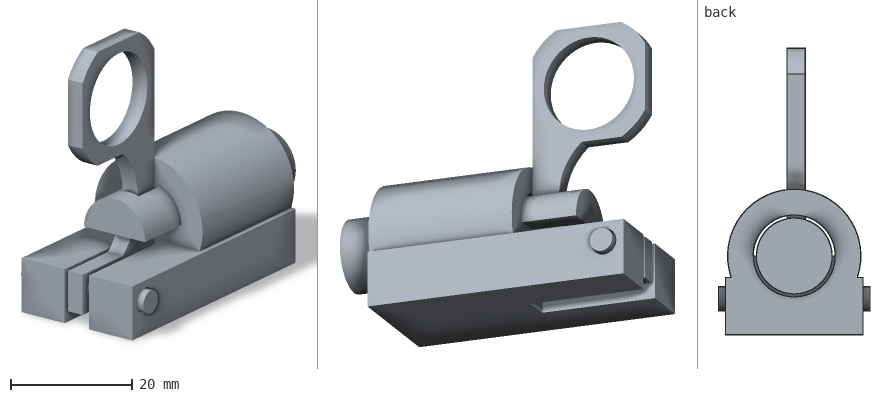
import cadquery as cq

OVERSHOOT = 0.5

base_width = 22.7
base_length = 45.5
base_height = 9.5
barrel_diameter = 22.0
bore_diameter = 13.5
axis_z = 13.0
barrel_front_y = 20.0
barrel_length = base_length - barrel_front_y
base_slot_width = 5.0
bore_step_y = barrel_front_y + barrel_length / 2

pin_diameter = 4.0
pin_hole_diameter = 4.5
pin_length = 25.0
pin_y = 3.5
pin_z = 6.0

plunger_diameter = 12.5
plunger_front_y = 10.5
plunger_rear_y = 52.5
plunger_slot_width = 4.0
plunger_nose_length = 4.0
plunger_slot_front_y = plunger_front_y + plunger_nose_length

lever_thickness = 3.05
lever_offset_x = -0.3
ring_size = 20.0
ring_corner_radius = 11.55
ring_hole_diameter = 16.0
lever_top_z = 47.25
neck_arc_radius = 11.8
neck_arc_z = 18.3
foot_top_z = 9.35
foot_bottom_z = 2.25


def box(width, y_start, y_end, z_start, z_end):
    """Block centred on X between the given Y and Z limits."""
    return (
        cq.Workplane("XY")
        .box(width, y_end - y_start, z_end - z_start, centered=(True, False, False))
        .translate((0, y_start, z_start))
    )


def rod_along_y(diameter, y_start, y_end):
    """Round rod on the plunger axis."""
    return (
        cq.Workplane("XZ", origin=(0, y_start, axis_z))
        .circle(diameter / 2)
        .extrude(y_start - y_end)
    )


def rod_along_x(diameter, length, y, z):
    """Round rod across the part, centred on X = 0."""
    return (
        cq.Workplane("YZ", origin=(-length / 2, y, z))
        .circle(diameter / 2)
        .extrude(length)
    )


def pin_hole():
    return rod_along_x(pin_hole_diameter, pin_length, pin_y, pin_z)


def upper_half(body):
    """Part of a body above the plunger axis."""
    return body.intersect(box(base_width, 0, plunger_rear_y, axis_z, lever_top_z))


def make_housing():
    base = box(base_width, 0, base_length, 0, base_height)
    barrel = rod_along_y(barrel_diameter, barrel_front_y, base_length)
    barrel = barrel.intersect(box(base_width, barrel_front_y, base_length, 0, lever_top_z))
    front_bore = upper_half(rod_along_y(bore_diameter, barrel_front_y - OVERSHOOT, bore_step_y))
    rear_bore = rod_along_y(bore_diameter, bore_step_y, base_length + OVERSHOOT)
    slot = box(base_slot_width, -OVERSHOOT, barrel_front_y, -OVERSHOOT, base_height + OVERSHOOT)
    return base.union(barrel).cut(front_bore).cut(rear_bore).cut(slot).cut(pin_hole())


def make_plunger():
    front = upper_half(rod_along_y(plunger_diameter, plunger_front_y, bore_step_y))
    rear = rod_along_y(plunger_diameter, bore_step_y, plunger_rear_y)
    slot = box(plunger_slot_width, plunger_slot_front_y, barrel_front_y, 0, lever_top_z)
    return front.union(rear).cut(slot)


def make_lever():
    half_ring = ring_size / 2
    ring_y = barrel_front_y - half_ring
    ring_z = lever_top_z - half_ring
    ring_bottom_z = lever_top_z - ring_size

    ring = box(lever_thickness, 0, barrel_front_y, ring_bottom_z, lever_top_z)
    ring = ring.intersect(rod_along_x(2 * ring_corner_radius, base_width, ring_y, ring_z))

    rear_edge = box(lever_thickness, ring_y, barrel_front_y, ring_bottom_z, ring_z)
    neck = box(lever_thickness, ring_y, barrel_front_y, foot_bottom_z, ring_bottom_z)
    neck = neck.cut(rod_along_x(2 * neck_arc_radius, base_width, pin_y, neck_arc_z))
    foot = box(lever_thickness, 0, barrel_front_y, foot_bottom_z, foot_top_z)

    ring_hole = rod_along_x(ring_hole_diameter, base_width, ring_y, ring_z)
    lever = ring.union(rear_edge).union(neck).union(foot).cut(ring_hole).cut(pin_hole())
    return lever.translate((lever_offset_x, 0, 0))


housing = make_housing()
plunger = make_plunger()
lever = make_lever()
pivot_pin = rod_along_x(pin_diameter, pin_length, pin_y, pin_z)

result = cq.Compound.makeCompound([housing.val(), plunger.val(), lever.val(), pivot_pin.val()])